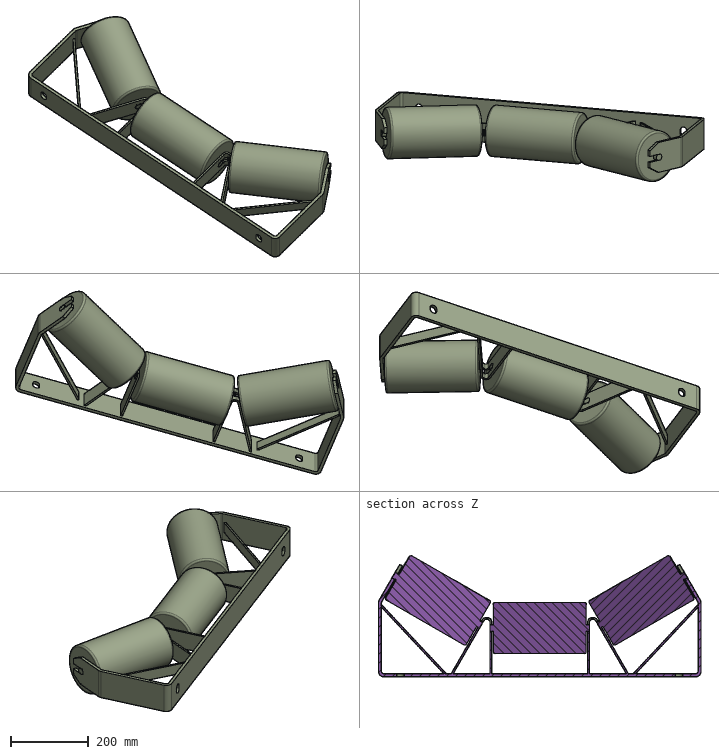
import cadquery as cq
import math


FRAME_WIDTH = 830.0
BAR_HEIGHT = 80.0
BAR_THICKNESS = 8.0
BAR_CORNER_RADIUS = 15.0
ARM_BEND_RADIUS = 17.0
ARM_TIP_LENGTH = 110.0
ARM_TIP_WIDTH = 46.0
ARM_TIP_TAPER_LENGTH = 29.0

MOUNT_SLOT_SPACING = 715.5
MOUNT_SLOT_WIDTH = 18.0
MOUNT_SLOT_HEIGHT = 26.0

ROLLER_DIAMETER = 133.0
ROLLER_LENGTH = 240.0
ROLLER_EDGE_RADIUS = 5.0
SHAFT_DIAMETER = 18.0
SHAFT_FLATS_WIDTH = 16.0
END_GAP = 3.0
TROUGH_ANGLE = math.radians(30)
CENTRE_ROLLER_Y = 125.0
SIDE_ROLLER_X = 261.5
SIDE_ROLLER_Y = 197.0
ROLLER_DROP = 7.05

BRACKET_THICKNESS = 5.0
BRACKET_HEIGHT = 50.0
BRACKET_TOP_Y = 153.0
BRACKET_BEND_RADIUS = 12.0

STRUT_THICKNESS = 5.0
STRUT_HEIGHT = 30.0
STRUT_ARM_Y = 183.0
STRUT_FOOT_X = 243.0

SLOT_RISE = 50.0
SLOT_OVERRUN = 4.0

HALF_WIDTH = FRAME_WIDTH / 2
ARM_INNER_X = HALF_WIDTH - BAR_THICKNESS
SUPPORT_REACH = ROLLER_LENGTH / 2 + END_GAP
AXIS_DIR = cq.Vector(math.cos(TROUGH_ANGLE), math.sin(TROUGH_ANGLE), 0)
LEG_DIR = cq.Vector(-math.sin(TROUGH_ANGLE), math.cos(TROUGH_ANGLE), 0)
DROP = cq.Vector(0, 0, -ROLLER_DROP)

SIDE_CENTRE = cq.Vector(SIDE_ROLLER_X, SIDE_ROLLER_Y, 0)
LEG_FACE_POINT = SIDE_CENTRE - AXIS_DIR * SUPPORT_REACH
SIDE_SHAFT_INNER = LEG_FACE_POINT - AXIS_DIR * BRACKET_THICKNESS + DROP
SIDE_SHAFT_OUTER = SIDE_CENTRE + AXIS_DIR * (SUPPORT_REACH + BAR_THICKNESS)
CENTRE_SHAFT_END = cq.Vector(SUPPORT_REACH + BRACKET_THICKNESS, CENTRE_ROLLER_Y, 0) + DROP

ARM_BEND = SIDE_SHAFT_OUTER - LEG_DIR * ((HALF_WIDTH - SIDE_SHAFT_OUTER.x) / math.sin(TROUGH_ANGLE))
ARM_TIP = ARM_BEND + LEG_DIR * ARM_TIP_LENGTH


def xy(point):
    return (point.x, point.y)


def flip_x(vector):
    return cq.Vector(-vector.x, vector.y, vector.z)


def plan_plate(points, height, mid_z=0.0):
    """Plate with the given plan outline, centred in height on mid_z."""
    base = cq.Workplane("XY").workplane(offset=mid_z - height / 2)
    return base.polyline(points).close().extrude(height)


def round_upright_edge(body, point, radius):
    """Fillet the vertical edge that stands at the given plan point."""
    nearest = cq.selectors.NearestToPointSelector((*point, 0))
    return body.edges("|Z").edges(nearest).fillet(radius)


def make_half_bar():
    """Bent strip of the +X half: back, arm and leaning arm tip."""
    miter = BAR_THICKNESS * math.tan(TROUGH_ANGLE / 2)
    outer_corner = (HALF_WIDTH, 0)
    inner_corner = (ARM_INNER_X, BAR_THICKNESS)
    outer_bend = xy(ARM_BEND)
    inner_bend = (ARM_INNER_X, ARM_BEND.y - miter)
    inner_tip = xy(ARM_TIP - AXIS_DIR * BAR_THICKNESS)
    outline = [
        (0, 0),
        outer_corner,
        outer_bend,
        xy(ARM_TIP),
        inner_tip,
        inner_bend,
        inner_corner,
        (0, BAR_THICKNESS),
    ]
    bar = plan_plate(outline, BAR_HEIGHT)
    bar = round_upright_edge(bar, outer_corner, BAR_CORNER_RADIUS)
    bar = round_upright_edge(bar, inner_corner, BAR_CORNER_RADIUS - BAR_THICKNESS)
    bar = round_upright_edge(bar, outer_bend, ARM_BEND_RADIUS)
    bar = round_upright_edge(bar, inner_bend, ARM_BEND_RADIUS - BAR_THICKNESS)
    for side in (1, -1):
        bar = bar.cut(make_tip_corner(side))
    return bar.cut(make_mount_slot())


def make_tip_corner(side):
    """Triangular offcut that tapers the arm tip on its upper or lower side."""
    plane = cq.Plane(origin=ARM_TIP.toTuple(), xDir=LEG_DIR.toTuple(), normal=AXIS_DIR.toTuple())
    edge = side * BAR_HEIGHT / 2
    outline = [(0, edge), (0, side * ARM_TIP_WIDTH / 2), (-ARM_TIP_TAPER_LENGTH, edge)]
    return cq.Workplane(plane).polyline(outline).close().extrude(-BAR_THICKNESS)


def make_mount_slot():
    return (
        cq.Workplane("XZ")
        .center(MOUNT_SLOT_SPACING / 2, 0)
        .slot2D(MOUNT_SLOT_HEIGHT, MOUNT_SLOT_WIDTH, 90)
        .extrude(-BAR_THICKNESS)
    )


def make_bracket():
    """Strip folded over the top: an upright leg and a leg square to the side roller."""
    inner_top_y = BRACKET_TOP_Y - BRACKET_THICKNESS
    upright_x = SUPPORT_REACH
    upright_back_x = upright_x + BRACKET_THICKNESS
    leaning_width = BRACKET_THICKNESS / math.cos(TROUGH_ANGLE)

    def leaning_x(y):
        return LEG_FACE_POINT.x + (LEG_FACE_POINT.y - y) * math.tan(TROUGH_ANGLE)

    outer_upright_bend = (upright_x, BRACKET_TOP_Y)
    outer_leaning_bend = (leaning_x(BRACKET_TOP_Y), BRACKET_TOP_Y)
    inner_leaning_bend = (leaning_x(inner_top_y) - leaning_width, inner_top_y)
    inner_upright_bend = (upright_back_x, inner_top_y)
    outline = [
        (upright_x, BAR_THICKNESS),
        outer_upright_bend,
        outer_leaning_bend,
        (leaning_x(BAR_THICKNESS), BAR_THICKNESS),
        (leaning_x(BAR_THICKNESS) - leaning_width, BAR_THICKNESS),
        inner_leaning_bend,
        inner_upright_bend,
        (upright_back_x, BAR_THICKNESS),
    ]
    bracket = plan_plate(outline, BRACKET_HEIGHT, -ROLLER_DROP)
    for bend in (outer_upright_bend, outer_leaning_bend):
        bracket = round_upright_edge(bracket, bend, BRACKET_BEND_RADIUS)
    for bend in (inner_leaning_bend, inner_upright_bend):
        bracket = round_upright_edge(bracket, bend, BRACKET_BEND_RADIUS - BRACKET_THICKNESS)
    return bracket


def make_strut():
    """Straight square-ended strip whose end centres lie on the bar's inner faces."""
    foot = cq.Vector(STRUT_FOOT_X, BAR_THICKNESS, 0)
    head = cq.Vector(ARM_INNER_X, STRUT_ARM_Y, 0)
    along = (head - foot).normalized()
    half = cq.Vector(-along.y, along.x, 0) * (STRUT_THICKNESS / 2)
    outline = [xy(foot - half), xy(head - half), xy(head + half), xy(foot + half)]
    return plan_plate(outline, STRUT_HEIGHT)


def axis_plane(start, end, up, offset=0.0):
    """Plane square to a shaft, offset along it from start, with local x along up."""
    axis = (end - start).normalized()
    origin = start + axis * offset
    return cq.Plane(origin=origin.toTuple(), xDir=up.toTuple(), normal=axis.toTuple())


def make_shaft(plane, length):
    """Round bar with two flats that face local y."""
    rod = cq.Workplane(plane).circle(SHAFT_DIAMETER / 2).extrude(length)
    flats = cq.Workplane(plane).rect(SHAFT_DIAMETER, SHAFT_FLATS_WIDTH).extrude(length)
    return rod.intersect(flats)


def make_shaft_slots(start, end, up):
    """Cutter for the open slots that hold both ends of one shaft."""
    length = (end - start).Length + 2 * SLOT_OVERRUN
    plane = axis_plane(start, end, up, -SLOT_OVERRUN)
    opening = (
        cq.Workplane(plane)
        .center(SLOT_RISE / 2, 0)
        .rect(SLOT_RISE, SHAFT_FLATS_WIDTH)
        .extrude(length)
    )
    return make_shaft(plane, length).union(opening)


def make_roller(start, end, up):
    """Roller with rounded rims, on a shaft that runs from start to end."""
    shaft_length = (end - start).Length
    shaft = make_shaft(axis_plane(start, end, up), shaft_length)
    drum_start = END_GAP + BRACKET_THICKNESS
    drum = (
        cq.Workplane(axis_plane(start, end, up, drum_start))
        .circle(ROLLER_DIAMETER / 2)
        .extrude(ROLLER_LENGTH)
        .edges()
        .fillet(ROLLER_EDGE_RADIUS)
    )
    return drum.union(shaft)


def make_frame(shaft_lines):
    """Bar, brackets and struts as one weldment, slotted for every shaft."""
    half = make_half_bar().union(make_bracket()).union(make_strut())
    frame = half.union(half.mirror("YZ"))
    for line in shaft_lines:
        frame = frame.cut(make_shaft_slots(*line))
    return frame


shaft_lines = [
    (flip_x(CENTRE_SHAFT_END), CENTRE_SHAFT_END, cq.Vector(0, 1, 0)),
    (SIDE_SHAFT_INNER, SIDE_SHAFT_OUTER, LEG_DIR),
    (flip_x(SIDE_SHAFT_INNER), flip_x(SIDE_SHAFT_OUTER), flip_x(LEG_DIR)),
]

frame = make_frame(shaft_lines)
rollers = [make_roller(*line) for line in shaft_lines]

result = cq.Compound.makeCompound([frame.val(), *[roller.val() for roller in rollers]])